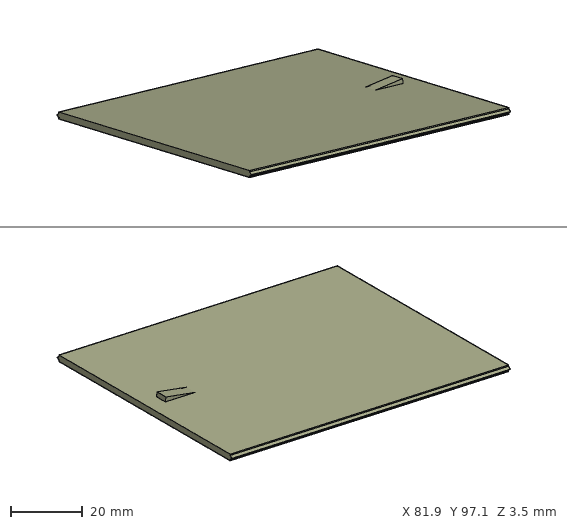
import cadquery as cq

plate_length = 97.1
overall_width = 81.9
plate_thickness = 2.0
ridge_depth = 0.8
ridge_height = 1.3

total_height = 3.5
wedge_width = 4.2
wedge_length = 10.4
wedge_edge_gap = 5.7
wedge_back_lean = 0.2


def make_plate():
    """Extrude a section with upright sides and a pointed ridge at mid-thickness."""
    tip_x = overall_width / 2
    side_x = tip_x - ridge_depth
    middle_z = plate_thickness / 2
    ridge_bottom_z = middle_z - ridge_height / 2
    ridge_top_z = middle_z + ridge_height / 2
    outline = [
        (-side_x, 0),
        (side_x, 0),
        (side_x, ridge_bottom_z),
        (tip_x, middle_z),
        (side_x, ridge_top_z),
        (side_x, plate_thickness),
        (-side_x, plate_thickness),
        (-side_x, ridge_top_z),
        (-tip_x, middle_z),
        (-side_x, ridge_bottom_z),
    ]
    section = cq.Workplane("XZ").polyline(outline).close()
    return section.extrude(plate_length / 2, both=True)


def make_wedge():
    """Ramp rising toward +Y to a slightly leaning back face, with its base on the plate."""
    back_y = plate_length / 2 - wedge_edge_gap
    front_y = back_y - wedge_length
    outline = [
        (front_y, plate_thickness),
        (back_y, plate_thickness),
        (back_y - wedge_back_lean, total_height),
    ]
    section = cq.Workplane("YZ").polyline(outline).close()
    return section.extrude(wedge_width / 2, both=True)


result = make_plate().union(make_wedge())